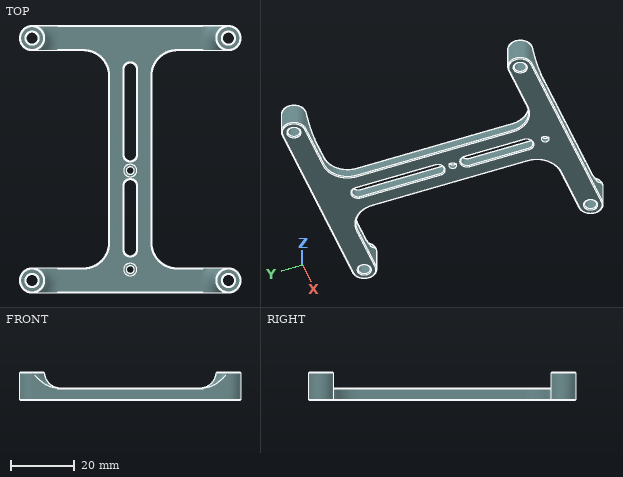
import cadquery as cq
import math

length = 84.6
width = 70.05
post_height = 9.0
plate_thickness = 4.0
arm_width = 7.95
stem_width = 13.7
inner_corner_radius = 7.95
edge_chamfer = 0.3

post_radius = arm_width / 2
post_x = width / 2 - post_radius
post_y = length / 2 - post_radius
flare_radius = post_height - plate_thickness
flare_top = post_height - edge_chamfer
flare_end = post_radius + math.sqrt(flare_radius**2 - edge_chamfer**2)
post_hole_diameter = 3.8

slot_width = 4.0
rim_slope = 45
slot_ends_y = [(-0.5, 30.45), (-30.5, -6.4)]
screw_hole_diameter = 2.4
screw_head_diameter = 4.1
screw_head_depth = 2.3
screw_holes_y = [-3.55, -34.85]


def make_arm(y, height):
    """Round-ended bar across X, centred at the given Y."""
    return (
        cq.Workplane("XY")
        .center(0, y)
        .slot2D(width, arm_width)
        .extrude(height)
    )


def make_plate():
    """H-shaped plate with rounded inner corners and chamfered rims."""
    plate = cq.Workplane("XY").box(stem_width, 2 * post_y, plate_thickness, centered=(True, True, False))
    for y in (-post_y, post_y):
        plate = plate.union(make_arm(y, plate_thickness))
    corner_x = stem_width / 2
    corner_y = post_y - post_radius
    for side in (-1, 1):
        for end in (-1, 1):
            corner = (side * corner_x, end * corner_y, plate_thickness / 2)
            edge = plate.edges("|Z").edges(cq.selectors.NearestToPointSelector(corner))
            plate = edge.fillet(inner_corner_radius)
    return plate.faces("<Z or >Z").chamfer(edge_chamfer)


def make_post():
    """Post at the origin: concave flare towards +X, trimmed to the arm's outline."""
    arc_offset = flare_radius * math.sqrt(0.5)
    post = (
        cq.Workplane("XZ")
        .moveTo(0, edge_chamfer)
        .lineTo(flare_end, edge_chamfer)
        .lineTo(flare_end, plate_thickness)
        .threePointArc((flare_end - arc_offset, post_height - arc_offset), (post_radius, flare_top))
        .lineTo(post_radius - edge_chamfer, post_height)
        .lineTo(0, post_height)
        .close()
        .revolve(360, (0, 0, 0), (0, 1, 0))
    )
    arm_end = make_arm(0, post_height).translate((post_x, 0, 0))
    return post.intersect(arm_end)


def make_slot_cutter(start_y, end_y):
    """Vertical slot along Y, widened by a chamfer at the top and bottom of the plate."""
    def slot_at(z, margin):
        return (
            cq.Workplane("XY", origin=(0, (start_y + end_y) / 2, z))
            .slot2D(end_y - start_y + 2 * margin, slot_width + 2 * margin, 90)
        )

    upper_rim = slot_at(plate_thickness, edge_chamfer).extrude(-edge_chamfer, taper=rim_slope)
    lower_rim = slot_at(0, edge_chamfer).extrude(edge_chamfer, taper=rim_slope)
    return slot_at(0, 0).extrude(plate_thickness).union(upper_rim).union(lower_rim)


def make_screw_hole_cutter(y):
    """Clearance hole with a flat-bottomed head recess from above."""
    hole = cq.Workplane("XY").center(0, y).circle(screw_hole_diameter / 2).extrude(plate_thickness)
    recess = (
        cq.Workplane("XY", origin=(0, y, plate_thickness))
        .circle(screw_head_diameter / 2)
        .extrude(-screw_head_depth)
    )
    return hole.union(recess)


def make_post_hole_cutter(x, y):
    """Through hole with a chamfered mouth at both ends."""
    radius = post_hole_diameter / 2
    mouth = radius + edge_chamfer
    return (
        cq.Workplane("XZ")
        .moveTo(0, 0)
        .lineTo(mouth, 0)
        .lineTo(radius, edge_chamfer)
        .lineTo(radius, post_height - edge_chamfer)
        .lineTo(mouth, post_height)
        .lineTo(0, post_height)
        .close()
        .revolve(360, (0, 0, 0), (0, 1, 0))
        .translate((x, y, 0))
    )


post_centres = [(x, y) for x in (-post_x, post_x) for y in (-post_y, post_y)]

result = make_plate()
post = make_post()
for x, y in post_centres:
    turn = 0 if x < 0 else 180
    result = result.union(post.rotate((0, 0, 0), (0, 0, 1), turn).translate((x, y, 0)))
for x, y in post_centres:
    result = result.cut(make_post_hole_cutter(x, y))
for start_y, end_y in slot_ends_y:
    result = result.cut(make_slot_cutter(start_y, end_y))
for y in screw_holes_y:
    result = result.cut(make_screw_hole_cutter(y))